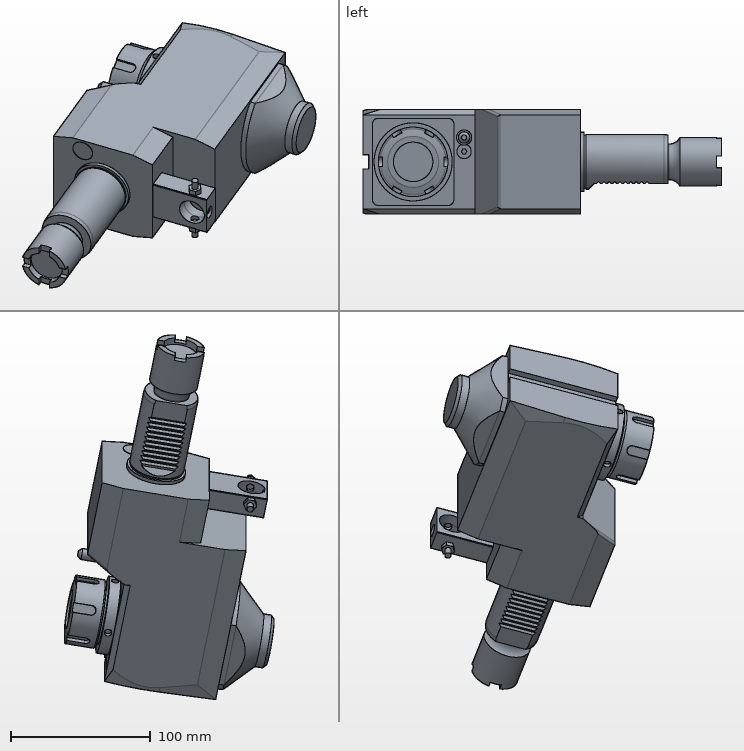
import cadquery as cq


HALF_HEIGHT = 37.5
BACK_Y = 156.0
LOWER_LEFT_X = -39.0
LOWER_RIGHT_X = 39.0
UPPER_LEFT_X = -9.0
UPPER_RIGHT_X = 72.2
RIGHT_STEP_Y = 35.0
SLOPE_FRONT_Y = 58.9
SLOPE_BACK_Y = 75.5
SLOPE_EDGE_RADIUS = 1.8
SIDE_CHAMFER_DROP = 3.9
SIDE_CHAMFER_WIDTH = 15.5
NUT_SIDE_CHAMFER_WIDTH = 4.0
BACK_CROWN_X = 18.0
BACK_CROWN_DROP = 0.8
BACK_CROWN_END_X = 30.8
BACK_CROWN_END_DROP = 1.0
BACK_SLOT_WIDTH = 10.0
BACK_SLOT_DEPTH = 4.0
SEAL_RECESS_DEPTH = 0.3
SPINDLE_PAD_WIDTH = 58.3
SPINDLE_PAD_HEIGHT = 62.5
SPINDLE_PAD_CORNER = 4.0
PLUG_X = -16.0
PLUG_Z = 28.0
PLUG_RADIUS = 7.7

SHANK_RADIUS = 19.8
SHANK_END = 62.7
SHANK_END_BEVEL = 3.0
SHANK_END_RADIUS = 19.3
COLLAR_RADIUS = 21.3
COLLAR_LENGTH = 2.5
UNDERCUT_RADIUS = 19.3
UNDERCUT_LENGTH = 1.3
NECK_RADIUS = 12.8
NECK_FLARE_START = 63.5
HEAD_RADIUS = 17.5
HEAD_START = 71.2
HEAD_END = 101.0
DRIVE_SLOT_DEPTH = 3.5
DRIVE_SLOT_WIDTH = 8.2
HEAD_BORE_RADIUS = 12.5
HEAD_BORE_DEPTH = 5.1
SHANK_FLAT_Z = -15.7
SHANK_FLAT_START = 9.8
TOOTH_PITCH = 3.9
TOOTH_DEPTH = 1.5
TOOTH_COUNT = 10
FIRST_TOOTH = 12.8

SPINDLE_Y = 120.0
RING_RADIUS = 28.0
RING_LEFT_X = -16.7
RING_HOLE_RADIUS = 2.5
RING_HOLE_DEPTH = 3.9
RING_HOLE_COUNT = 4
NUT_RADIUS = 25.0
NUT_NECK_RADIUS = 21.5
NUT_TIP_X = -41.5
NUT_SHOULDER_X = -40.0
NUT_REAR_X = -19.5
NUT_REAR_BEVEL = 1.3
NUT_FACE_RADIUS = 18.2
NUT_SHOULDER_RADIUS = 23.6
NUT_BORE_RADIUS = 14.1
NUT_BORE_DEPTH = 1.5
NUT_SLOT_COUNT = 6
NUT_SLOT_WIDTH = 7.0
NUT_SLOT_DEPTH = 2.8
NUT_SLOT_END_X = -24.0

CAP_RADIUS = 40.3
CAP_FLANGE_LENGTH = 3.9
CAP_FLAT_BACK = 31.4
CAP_FLAT_HALF_HEIGHT = 32.5
CAP_STUB_RADIUS = 19.3
CAP_END_X = 105.0
CAP_END_CHAMFER = 2.3

PIN_Y = 83.5
PIN_Z = 17.5
PIN_RADIUS = 4.0
PIN_TIP_LENGTH = 2.5
PIN_TIP_RADIUS = 1.8
PIN_COLLAR_RADIUS = 5.5
PIN_COLLAR_LENGTH = 0.8
SCREW_Z = 7.5
SCREW_RADIUS = 5.1
SCREW_SOCKET_SIZE = 3.9
SCREW_SOCKET_DEPTH = 2.5

ARM_END_X = 81.5
ARM_FRONT_Y = 0.8
ARM_BACK_Y = 16.2
ARM_HALF_HEIGHT = 15.2
ARM_HOLE_X = 70.0
ARM_HOLE_RADIUS = 9.8
ARM_EDGE_CHAMFER = 0.5
ARM_END_HOLE_RADIUS = 4.4
STUD_Y = 6.0
STUD_RADIUS = 2.3
STUD_HOLE_RADIUS = 2.8
STUD_HOLE_END_Z = 12.5
STUD_TOP_Z = 25.5
STUD_NUT_SIZE = 9.5
STUD_NUT_TOP_Z = 19.0
HEXAGON_SIDES = 6

OVERSIZE = 154.2
OVERLAP = 2.5


def turned_on_x(profile, axis_y, axis_z=0):
    """Solid turned about a line along X from (x, radius) points."""
    solid = cq.Workplane("XY").polyline(profile).close().revolve(360, (0, 0, 0), (1, 0, 0))
    return solid.translate((0, axis_y, axis_z))


def both_faces(solid):
    """The solid together with its mirror image in the middle plane Z = 0."""
    return solid.union(solid.mirror("XY"))


def side_chamfer(edge_x, inner_x, start_y, end_y):
    """Wedges removed along the top and bottom edges of a housing side."""
    low_z = HALF_HEIGHT - SIDE_CHAMFER_DROP
    wedge = (
        cq.Workplane("XZ", origin=(0, start_y, 0))
        .polyline([(edge_x, low_z), (inner_x, HALF_HEIGHT), (edge_x, HALF_HEIGHT)])
        .close()
        .extrude(start_y - end_y)
    )
    return both_faces(wedge)


def back_bevel():
    """Crowned bevel: the back edge profile swept forward and up."""
    low_z = HALF_HEIGHT - SIDE_CHAMFER_DROP
    high_z = HALF_HEIGHT + SIDE_CHAMFER_DROP
    outline = (
        cq.Workplane("XZ", origin=(0, BACK_Y, 0))
        .moveTo(UPPER_LEFT_X, low_z)
        .threePointArc(
            (BACK_CROWN_X, HALF_HEIGHT - BACK_CROWN_DROP),
            (BACK_CROWN_END_X, HALF_HEIGHT - BACK_CROWN_END_DROP),
        )
        .lineTo(UPPER_RIGHT_X, low_z)
        .lineTo(UPPER_RIGHT_X, high_z)
        .lineTo(UPPER_LEFT_X, high_z)
        .close()
    )
    sweep = cq.Vector(0, -SIDE_CHAMFER_WIDTH, SIDE_CHAMFER_DROP)
    bevel = cq.Solid.extrudeLinear(outline.val(), [], sweep)
    return both_faces(cq.Workplane(bevel))


def housing():
    """Stepped, chamfered block with its back slot and shallow seats."""
    body = (
        cq.Workplane("XY", origin=(0, 0, -HALF_HEIGHT))
        .polyline([
            (LOWER_LEFT_X, 0),
            (LOWER_RIGHT_X, 0),
            (LOWER_RIGHT_X, RIGHT_STEP_Y),
            (UPPER_RIGHT_X, RIGHT_STEP_Y),
            (UPPER_RIGHT_X, BACK_Y),
            (UPPER_LEFT_X, BACK_Y),
            (UPPER_LEFT_X, SLOPE_BACK_Y),
            (LOWER_LEFT_X, SLOPE_FRONT_Y),
        ])
        .close()
        .extrude(2 * HALF_HEIGHT)
    )
    body = body.cut(side_chamfer(
        LOWER_LEFT_X, LOWER_LEFT_X + SIDE_CHAMFER_WIDTH, 0, SLOPE_BACK_Y))
    slope_edges = cq.selectors.BoxSelector(
        (LOWER_LEFT_X - OVERLAP, SLOPE_FRONT_Y - OVERLAP, -HALF_HEIGHT),
        (LOWER_LEFT_X + SIDE_CHAMFER_WIDTH, SLOPE_BACK_Y, HALF_HEIGHT),
    )
    body = body.edges(slope_edges).fillet(SLOPE_EDGE_RADIUS)
    body = body.cut(side_chamfer(
        LOWER_RIGHT_X, LOWER_RIGHT_X - SIDE_CHAMFER_WIDTH, 0, RIGHT_STEP_Y))
    body = body.cut(side_chamfer(
        UPPER_RIGHT_X, UPPER_RIGHT_X - SIDE_CHAMFER_WIDTH, RIGHT_STEP_Y, BACK_Y))
    body = body.cut(side_chamfer(
        UPPER_LEFT_X, UPPER_LEFT_X + NUT_SIDE_CHAMFER_WIDTH, SLOPE_BACK_Y, BACK_Y))
    body = body.cut(back_bevel())

    slot = cq.Workplane("XY").box(2 * OVERSIZE, 2 * BACK_SLOT_DEPTH, BACK_SLOT_WIDTH)
    body = body.cut(slot.translate((0, BACK_Y, 0)))

    spindle_pad = (
        cq.Workplane("XY")
        .box(2 * SEAL_RECESS_DEPTH, SPINDLE_PAD_WIDTH, SPINDLE_PAD_HEIGHT)
        .edges("|X")
        .fillet(SPINDLE_PAD_CORNER)
        .translate((UPPER_LEFT_X, SPINDLE_Y, 0))
    )
    plug = (
        cq.Workplane("XZ", origin=(PLUG_X, SEAL_RECESS_DEPTH, PLUG_Z))
        .circle(PLUG_RADIUS)
        .extrude(SEAL_RECESS_DEPTH)
    )
    return body.cut(spindle_pad).cut(plug)


def shank():
    """Collar, toothed shank, neck and slotted drive head."""
    solid = (
        cq.Workplane("XY")
        .moveTo(0, OVERLAP)
        .lineTo(COLLAR_RADIUS, OVERLAP)
        .lineTo(COLLAR_RADIUS, -COLLAR_LENGTH)
        .lineTo(UNDERCUT_RADIUS, -COLLAR_LENGTH)
        .lineTo(UNDERCUT_RADIUS, -COLLAR_LENGTH - UNDERCUT_LENGTH)
        .lineTo(SHANK_RADIUS, -COLLAR_LENGTH - UNDERCUT_LENGTH)
        .lineTo(SHANK_RADIUS, -SHANK_END + SHANK_END_BEVEL)
        .lineTo(SHANK_END_RADIUS, -SHANK_END)
        .lineTo(NECK_RADIUS, -SHANK_END)
        .lineTo(NECK_RADIUS, -NECK_FLARE_START)
        .tangentArcPoint((HEAD_RADIUS, -HEAD_START), relative=False)
        .lineTo(HEAD_RADIUS, -HEAD_END)
        .lineTo(0, -HEAD_END)
        .close()
        .revolve(360, (0, 0, 0), (0, 1, 0))
    )
    bore = (
        cq.Workplane("XZ", origin=(0, -HEAD_END + HEAD_BORE_DEPTH, 0))
        .circle(HEAD_BORE_RADIUS)
        .extrude(HEAD_BORE_DEPTH)
    )
    solid = solid.cut(bore)
    for slot_angle in (0, 90):
        slot = (
            cq.Workplane("XY")
            .box(3 * HEAD_RADIUS, 2 * DRIVE_SLOT_DEPTH, DRIVE_SLOT_WIDTH)
            .translate((0, -HEAD_END, 0))
            .rotate((0, 0, 0), (0, 1, 0), slot_angle)
        )
        solid = solid.cut(slot)
    return solid.cut(tooth_rack())


def tooth_rack():
    """Flat with a ramped start and V teeth along the underside of the shank."""
    ramp = -SHANK_FLAT_Z
    low_z = SHANK_FLAT_Z - ramp
    outline = [(-SHANK_END, low_z), (-SHANK_END, SHANK_FLAT_Z)]
    for index in reversed(range(TOOTH_COUNT)):
        valley_y = -FIRST_TOOTH - index * TOOTH_PITCH
        outline += [
            (valley_y - TOOTH_DEPTH, SHANK_FLAT_Z),
            (valley_y, SHANK_FLAT_Z + TOOTH_DEPTH),
            (valley_y + TOOTH_DEPTH, SHANK_FLAT_Z),
        ]
    outline += [(-SHANK_FLAT_START, SHANK_FLAT_Z), (-SHANK_FLAT_START + ramp, low_z)]
    rack = cq.Workplane("YZ").polyline(outline).close().extrude(SHANK_RADIUS, both=True)
    beside_collar = (
        cq.Workplane("XY")
        .box(OVERSIZE, SHANK_END - COLLAR_LENGTH, OVERSIZE)
        .translate((0, -(SHANK_END + COLLAR_LENGTH) / 2, 0))
    )
    return rack.intersect(beside_collar)


def spindle_nut():
    """Ring, neck and slotted clamping nut on the spindle axis."""
    rear_bevel_x = NUT_REAR_X + NUT_REAR_BEVEL
    solid = turned_on_x([
        (UPPER_LEFT_X + OVERLAP, 0),
        (UPPER_LEFT_X + OVERLAP, RING_RADIUS),
        (RING_LEFT_X, RING_RADIUS),
        (RING_LEFT_X, NUT_NECK_RADIUS),
        (rear_bevel_x, NUT_NECK_RADIUS),
        (rear_bevel_x, NUT_RADIUS - NUT_REAR_BEVEL),
        (NUT_REAR_X, NUT_RADIUS),
        (NUT_SHOULDER_X, NUT_RADIUS),
        (NUT_SHOULDER_X, NUT_SHOULDER_RADIUS),
        (NUT_TIP_X, NUT_FACE_RADIUS),
        (NUT_TIP_X, NUT_BORE_RADIUS),
        (NUT_TIP_X + NUT_BORE_DEPTH, NUT_BORE_RADIUS),
        (NUT_TIP_X + NUT_BORE_DEPTH, 0),
    ], SPINDLE_Y)

    slot_round_x = NUT_SLOT_END_X - NUT_SLOT_WIDTH / 2
    slot = (
        cq.Workplane("XY", origin=(0, SPINDLE_Y, NUT_RADIUS - NUT_SLOT_DEPTH))
        .moveTo(NUT_TIP_X, -NUT_SLOT_WIDTH / 2)
        .lineTo(slot_round_x, -NUT_SLOT_WIDTH / 2)
        .threePointArc((NUT_SLOT_END_X, 0), (slot_round_x, NUT_SLOT_WIDTH / 2))
        .lineTo(NUT_TIP_X, NUT_SLOT_WIDTH / 2)
        .close()
        .extrude(2 * NUT_SLOT_DEPTH)
    )
    for index in range(NUT_SLOT_COUNT):
        solid = solid.cut(about_spindle(slot, 90 + index * 360 / NUT_SLOT_COUNT))

    hole_x = (RING_LEFT_X + UPPER_LEFT_X) / 2
    hole = (
        cq.Workplane("XY", origin=(hole_x, SPINDLE_Y, RING_RADIUS - RING_HOLE_DEPTH))
        .circle(RING_HOLE_RADIUS)
        .extrude(2 * RING_HOLE_DEPTH)
    )
    for index in range(RING_HOLE_COUNT):
        solid = solid.cut(about_spindle(hole, index * 360 / RING_HOLE_COUNT))
    return solid


def about_spindle(solid, angle):
    """The solid turned about the spindle axis by an angle in degrees."""
    return solid.rotate((0, SPINDLE_Y, 0), (1, SPINDLE_Y, 0), angle)


def rear_cap():
    """45 degree cone with a stub, flat at the back; flat above and below, then tapering."""
    cone_x = UPPER_RIGHT_X + CAP_FLANGE_LENGTH
    stub_x = cone_x + CAP_RADIUS - CAP_STUB_RADIUS
    solid = turned_on_x([
        (UPPER_RIGHT_X - OVERLAP, 0),
        (UPPER_RIGHT_X - OVERLAP, CAP_RADIUS),
        (cone_x, CAP_RADIUS),
        (stub_x, CAP_STUB_RADIUS),
        (CAP_END_X - CAP_END_CHAMFER, CAP_STUB_RADIUS),
        (CAP_END_X, CAP_STUB_RADIUS - CAP_END_CHAMFER),
        (CAP_END_X, 0),
    ], SPINDLE_Y)
    taper_end_z = CAP_FLAT_HALF_HEIGHT - (stub_x - cone_x) * SIDE_CHAMFER_DROP / SIDE_CHAMFER_WIDTH
    envelope = (
        cq.Workplane("XZ", origin=(0, SPINDLE_Y + CAP_FLAT_BACK, 0))
        .polyline([
            (0, -CAP_FLAT_HALF_HEIGHT),
            (cone_x, -CAP_FLAT_HALF_HEIGHT),
            (stub_x, -taper_end_z),
            (CAP_END_X, -taper_end_z),
            (CAP_END_X, taper_end_z),
            (stub_x, taper_end_z),
            (cone_x, CAP_FLAT_HALF_HEIGHT),
            (0, CAP_FLAT_HALF_HEIGHT),
        ])
        .close()
        .extrude(OVERSIZE)
    )
    return solid.intersect(envelope)


def pin():
    """Round pin with a tapered tip and a foot collar."""
    collar_x = UPPER_LEFT_X - PIN_COLLAR_LENGTH
    return turned_on_x([
        (UPPER_LEFT_X + OVERLAP, 0),
        (UPPER_LEFT_X + OVERLAP, PIN_COLLAR_RADIUS),
        (collar_x, PIN_COLLAR_RADIUS),
        (collar_x, PIN_RADIUS),
        (NUT_TIP_X + PIN_TIP_LENGTH, PIN_RADIUS),
        (NUT_TIP_X, PIN_TIP_RADIUS),
        (NUT_TIP_X, 0),
    ], PIN_Y, PIN_Z)


def screw_recess():
    """Shallow round seat with a hexagon socket."""
    plane = cq.Workplane("YZ", origin=(UPPER_LEFT_X, PIN_Y, SCREW_Z))
    seat = plane.circle(SCREW_RADIUS).extrude(SEAL_RECESS_DEPTH)
    socket = plane.polygon(HEXAGON_SIDES, SCREW_SOCKET_SIZE).extrude(SCREW_SOCKET_DEPTH)
    return seat.union(socket)


def side_arm():
    """Arm with a cross hole, an end hole, and a stud with hexagon nut above and below."""
    start_x = LOWER_RIGHT_X - OVERLAP
    mid_y = (ARM_FRONT_Y + ARM_BACK_Y) / 2
    arm = (
        cq.Workplane("YZ", origin=(start_x, mid_y, 0))
        .rect(ARM_BACK_Y - ARM_FRONT_Y, 2 * ARM_HALF_HEIGHT)
        .extrude(ARM_END_X - start_x)
        .edges("|X")
        .chamfer(ARM_EDGE_CHAMFER)
    )
    cross_hole = (
        cq.Workplane("XZ", origin=(ARM_HOLE_X, mid_y, 0))
        .circle(ARM_HOLE_RADIUS)
        .extrude(ARM_BACK_Y, both=True)
    )
    end_hole = (
        cq.Workplane("YZ", origin=(ARM_HOLE_X, STUD_Y, 0))
        .circle(ARM_END_HOLE_RADIUS)
        .extrude(ARM_END_X - ARM_HOLE_X)
    )
    stud_plane = cq.Workplane("XY", origin=(ARM_HOLE_X, STUD_Y, 0))
    stud_hole = stud_plane.circle(STUD_HOLE_RADIUS).extrude(STUD_HOLE_END_Z)
    arm = arm.cut(cross_hole).cut(end_hole).cut(both_faces(stud_hole))

    nut_plane = stud_plane.workplane(offset=ARM_HALF_HEIGHT)
    nut = nut_plane.polygon(HEXAGON_SIDES, STUD_NUT_SIZE).extrude(STUD_NUT_TOP_Z - ARM_HALF_HEIGHT)
    stud = nut_plane.circle(STUD_RADIUS).extrude(STUD_TOP_Z - ARM_HALF_HEIGHT)
    return arm.union(both_faces(nut.union(stud)))


result = (
    housing()
    .cut(screw_recess())
    .union(shank())
    .union(spindle_nut())
    .union(rear_cap())
    .union(pin())
    .union(side_arm())
)